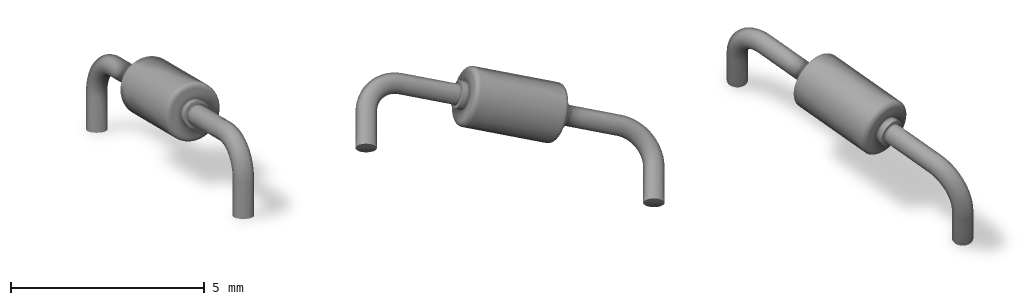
import cadquery as cq

overall_length = 8.75
overall_height = 2.8

housing_diameter = 1.6
housing_length = 2.66
edge_radius = 0.13
cap_length = 0.31
band_length = 0.35
barrel_length = housing_length - cap_length - band_length

wire_diameter = 0.55
collar_diameter = 0.75
collar_length = 0.18
bend_radius = 1.0

housing_end = housing_length / 2
band_start = -housing_end + cap_length
barrel_start = band_start + band_length
collar_end = housing_end + collar_length
leg_x = (overall_length - wire_diameter) / 2
bend_start = leg_x - bend_radius
leg_bottom = housing_diameter / 2 - overall_height


def make_cylinder(start_x, length, diameter):
    """Cylinder on the component axis, running toward +X from start_x."""
    return cq.Workplane("YZ", origin=(start_x, 0, 0)).circle(diameter / 2).extrude(length)


def make_end_cap():
    """Short left end of the housing with a rounded outer rim."""
    cap = make_cylinder(-housing_end, cap_length, housing_diameter)
    return cap.faces("<X").edges().fillet(edge_radius)


def make_band():
    """Marking band, flush with the end cap and the barrel."""
    return make_cylinder(band_start, band_length, housing_diameter)


def make_barrel():
    """Long right part of the housing with a rounded outer rim."""
    barrel = make_cylinder(barrel_start, barrel_length, housing_diameter)
    return barrel.faces(">X").edges().fillet(edge_radius)


def make_right_lead():
    """Collar, straight run, quarter bend and downward leg of the right lead."""
    collar = make_cylinder(housing_end, collar_length, collar_diameter)
    run = make_cylinder(collar_end, bend_start - collar_end, wire_diameter)
    bend = (
        cq.Workplane("YZ", origin=(bend_start, 0, 0))
        .circle(wire_diameter / 2)
        .revolve(90, (0, -bend_radius), (1, -bend_radius))
    )
    leg = (
        cq.Workplane("XY", origin=(leg_x, 0, leg_bottom))
        .circle(wire_diameter / 2)
        .extrude(-bend_radius - leg_bottom)
    )
    return collar.union(run).union(bend).union(leg)


def make_lead(turn_angle):
    """Lead turned about the Z axis to its end of the housing."""
    return make_right_lead().rotate((0, 0, 0), (0, 0, 1), turn_angle)


end_cap = make_end_cap()
band = make_band()
barrel = make_barrel()
leads = [make_lead(turn_angle) for turn_angle in (0, 180)]

result = cq.Compound.makeCompound(
    [end_cap.val(), band.val(), barrel.val(), *[lead.val() for lead in leads]]
)